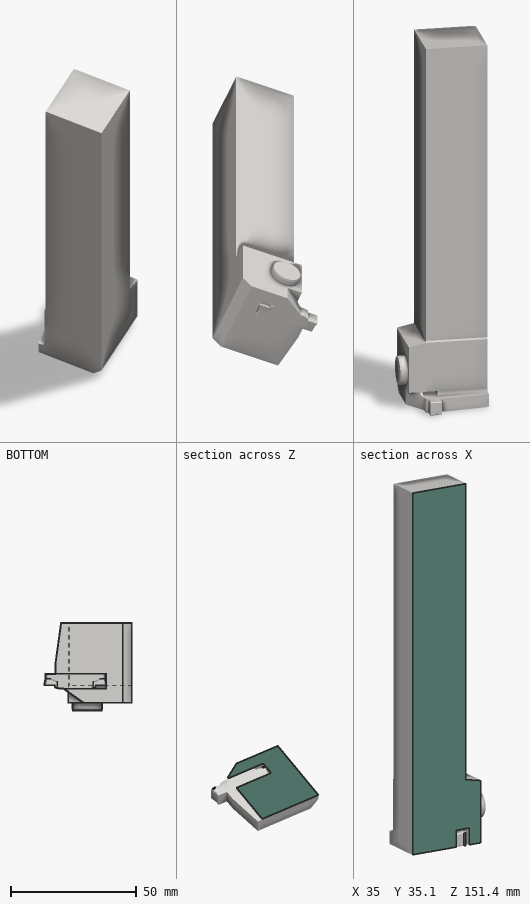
import cadquery as cq
import math


overall_length = 151.37

shank_width = 25.0

head_height = 32.0
head_side_step = 0.43
head_z_front = 27.6
head_z_rear = 26.1
side_step_z = 28.3
corner_chamfer = 3.7

blade_width = 5.45
blade_reach = 5.5
blade_reach_base = 3.28
blade_straight_from = 16.0
root_radius = 1.55

tip_x = -10.03
insert_length = 24.86
insert_bottom = 20.4
cutting_height = 25.0
insert_top = 26.3
edge_width = 6.0
clearance_bottom = 22.3
clearance_setback = 0.5
rake_length = 4.2
chip_wall_run = 0.3
chip_wall_top = 25.9
tip_length = 5.3
body_start = 6.2
flank_relief = 0.077
flank_back_taper = 0.032
nose_radius = 0.5
insert_mid_x = tip_x + insert_length / 2
insert_mid_z = blade_width / 2

edge_overhang = (edge_width - blade_width) / 2
shank_top = overall_length - edge_overhang

jaw_tip_x = -2.3
jaw_slope = 0.7

screw_x = 7.2
screw_z = 14.1
screw_diameter = 11.86
screw_height = 3.1
screw_chamfer_height = 0.8
screw_chamfer_width = 0.2


def xy_prism(points, z_bottom, z_top):
    """Prism of an XY outline between two heights."""
    return cq.Workplane("XY", origin=(0, 0, z_bottom)).polyline(points).close().extrude(z_top - z_bottom)


def make_head():
    """Block wider than the shank, with a sloping shoulder and a chamfered lower corner."""
    shoulder = [
        (0, 0),
        (head_height, 0),
        (head_height, head_z_rear),
        (shank_width, head_z_front),
        (0, head_z_front),
    ]
    head = (
        cq.Workplane("YZ", origin=(-head_side_step, 0, 0))
        .polyline(shoulder)
        .close()
        .extrude(shank_width + head_side_step)
    )
    side_wedge = (
        cq.Workplane("XZ")
        .polyline([(0, head_z_front), (-head_side_step, head_z_front), (0, side_step_z)])
        .close()
        .extrude(-shank_width)
    )
    return head.union(side_wedge).edges("|Y and >X and <Z").chamfer(corner_chamfer)


def make_blade():
    """Blade and jaw plate below the head, with the concave root fillet along its top."""
    outline = [
        (0, 0),
        (-blade_reach_base, 0),
        (-blade_reach, blade_straight_from),
        (-blade_reach, insert_bottom),
        (jaw_tip_x, insert_bottom),
        (jaw_tip_x, head_height),
        (0, head_height),
    ]
    root_x = -head_side_step - root_radius
    root_z = blade_width + root_radius
    arc_offset = root_radius * math.sin(math.pi / 4)
    root = (
        cq.Workplane("XZ")
        .moveTo(root_x, blade_width)
        .threePointArc((root_x + arc_offset, root_z - arc_offset), (-head_side_step, root_z))
        .lineTo(0, root_z)
        .lineTo(0, blade_width)
        .close()
        .extrude(-head_height)
    )
    return xy_prism(outline, 0, blade_width).union(root)


def make_jaw_relief():
    """Space cleared above the sloping upper face of the jaw."""
    rise = head_height - insert_top
    outline = [
        (jaw_tip_x, insert_top),
        (jaw_tip_x + rise / jaw_slope, head_height),
        (jaw_tip_x, head_height),
    ]
    return xy_prism(outline, 0, blade_width + root_radius)


def make_insert_pocket():
    """Slot open at the front and underneath, as tall as the root fillet and as long as the insert."""
    outline = [
        (tip_x, insert_bottom),
        (tip_x + insert_length, insert_bottom),
        (tip_x + insert_length, insert_top),
        (tip_x, insert_top),
    ]
    return xy_prism(outline, 0, blade_width + root_radius)


def make_screw_head():
    """Round screw head on the upper face of the clamping head."""
    return (
        cq.Workplane("XZ", origin=(screw_x, head_height, screw_z))
        .circle(screw_diameter / 2)
        .extrude(-screw_height)
        .faces(">Y")
        .edges()
        .chamfer(screw_chamfer_height, screw_chamfer_width)
    )


def make_holder():
    shank = cq.Workplane("XY").box(shank_width, shank_width, shank_top - head_z_rear, centered=False)
    return (
        shank.translate((0, 0, head_z_rear))
        .union(make_head())
        .union(make_blade())
        .cut(make_jaw_relief())
        .cut(make_insert_pocket())
        .union(make_screw_head())
    )


def clearance_x(y):
    """X of the clearance face of the front tip at height y."""
    return tip_x + clearance_setback * (cutting_height - y) / (cutting_height - clearance_bottom)


def insert_half_profile():
    """Outline of the front half of the insert: clearance, rake, chip-breaker wall and back."""
    base_x = tip_x + clearance_setback
    rake_end = tip_x + rake_length
    return [
        (insert_mid_x, insert_bottom),
        (base_x, insert_bottom),
        (base_x, clearance_bottom),
        (tip_x, cutting_height),
        (rake_end, cutting_height),
        (rake_end + chip_wall_run, chip_wall_top),
        (tip_x + body_start, insert_top),
        (insert_mid_x, insert_top),
    ]


def rounded_section(y, x_front, half_front, x_back, half_back):
    """Plan outline of the insert at height y, with its two front corners rounded."""
    flank = half_front - nose_radius
    dip = nose_radius * (1 - math.sin(math.pi / 4))

    def corner(x, z_offset):
        return cq.Vector(x, y, insert_mid_z + z_offset)

    edges = [
        cq.Edge.makeLine(corner(x_back, -half_back), corner(x_front + nose_radius, -half_front)),
        cq.Edge.makeThreePointArc(
            corner(x_front + nose_radius, -half_front),
            corner(x_front + dip, dip - half_front),
            corner(x_front, -flank),
        ),
        cq.Edge.makeLine(corner(x_front, -flank), corner(x_front, flank)),
        cq.Edge.makeThreePointArc(
            corner(x_front, flank),
            corner(x_front + dip, half_front - dip),
            corner(x_front + nose_radius, half_front),
        ),
        cq.Edge.makeLine(corner(x_front + nose_radius, half_front), corner(x_back, half_back)),
        cq.Edge.makeLine(corner(x_back, half_back), corner(x_back, -half_back)),
    ]
    return cq.Wire.assembleEdges(edges)


def core_section(y, x_front):
    """Section of the core, as wide as the blade."""
    return rounded_section(y, x_front, blade_width / 2, insert_mid_x, blade_width / 2)


def flare_section(y):
    """Section of the flared tip, narrowing towards the back and downwards."""
    half_width = edge_width / 2 - flank_relief * (cutting_height - y)
    run = clearance_x(y) - tip_x
    half_front = half_width - flank_back_taper * run
    half_back = half_width - flank_back_taper * tip_length
    return rounded_section(y, clearance_x(y), half_front, tip_x + tip_length, half_back)


def make_half_insert():
    """Front half of the insert: a core as wide as the blade, with a flared cutting tip."""
    base_x = clearance_x(clearance_bottom)
    base_core = cq.Solid.makeLoft(
        [core_section(insert_bottom, base_x), core_section(clearance_bottom, base_x)], True
    )
    upper_core = cq.Solid.makeLoft(
        [core_section(clearance_bottom, base_x), core_section(insert_top, clearance_x(insert_top))], True
    )
    flare = cq.Solid.makeLoft([flare_section(clearance_bottom), flare_section(insert_top)], True)
    envelope = xy_prism(insert_half_profile(), -edge_width, 2 * edge_width)
    half = cq.Workplane(base_core).union(cq.Workplane(upper_core)).union(cq.Workplane(flare))
    return half.intersect(envelope)


def make_insert():
    front_half = make_half_insert()
    rear_half = front_half.mirror("YZ", (insert_mid_x, 0, 0))
    return front_half.union(rear_half)


holder = make_holder()
insert = make_insert()
result = cq.Compound.makeCompound([holder.solids().val(), insert.solids().val()])